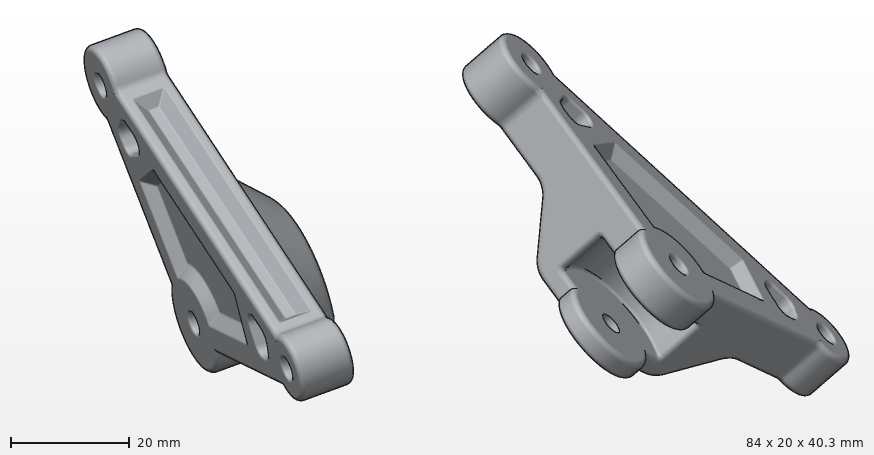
import cadquery as cq
import math

MOUNT_X = 35.5
MOUNT_Z = 24.3
HOLE_DIAMETER = 4.0

LEFT_BOSS_RADIUS = 7.0
RIGHT_BOSS_RADIUS = 6.0
PIVOT_RADIUS = 9.0
BORDER = 4.0
BOSS_BLEND = 2.1

PLATE_DEPTH = 10.0
TOTAL_DEPTH = 20.0
SLOT_FRONT = 7.0
SLOT_BACK = 16.0
SLOT_RADIUS = 12.0

HUB_BACK_RADIUS = 15.0
HUB_BLEND = 5.0

RIM_ROUND = 1.0
SMALL_ROUND = 0.5

RECESS_DEPTH = 2.0
RECESS_TAPER = 45
POCKET_INSET = 1.0
POCKET_TOP_X = 15.45
POCKET_CORNER_X = 20.6
LAND_RADIUS = 8.0
GROOVE_LEFT = -27.2
GROOVE_RIGHT = 29.0
GROOVE_WALL = 2.0

WINDOW_TOP_X = 18.3
WINDOW_BOTTOM_X = 25.1
WINDOW_ROUND = 2.0

SIDE_ANGLE = math.atan2(MOUNT_Z, MOUNT_X)
TOP_Z = MOUNT_Z + BORDER
HOLES = [(0, 0), (-MOUNT_X, MOUNT_Z), (MOUNT_X, MOUNT_Z)]


def side_z(x, inset=0):
    """Height, at x, of a line parallel to a sloping side and inset from the hole centres."""
    return abs(x) * math.tan(SIDE_ANGLE) + inset / math.cos(SIDE_ANGLE)


def prism(points, depth):
    """Polygon in the XZ plane, extruded from the front face towards +Y."""
    return cq.Workplane("XZ").polyline(points).close().extrude(-depth)


def cylinder(x, z, radius, y_start, y_end):
    base = cq.Workplane("XZ", origin=(x, y_start, z))
    return base.circle(radius).extrude(y_start - y_end)


def fillet_where(body, radius, selected):
    """Round the edges for which the given test is true."""
    edges = body.edges().filter(selected)
    return body.newObject(edges.vals()).fillet(radius)


def is_along_y(edge):
    return edge.geomType() == "LINE" and abs(edge.tangentAt(0).y) > 0.99


def web(depth):
    """Triangle with the pivot boss at its lower corner."""
    tip_x = MOUNT_X + BORDER * math.sin(SIDE_ANGLE)
    tip_z = MOUNT_Z - BORDER * math.cos(SIDE_ANGLE)
    triangle = prism(
        [
            (-MOUNT_X, TOP_Z),
            (MOUNT_X, TOP_Z),
            (tip_x, tip_z),
            (0, side_z(0, -BORDER)),
            (-tip_x, tip_z),
        ],
        depth,
    )
    return triangle.union(cylinder(0, 0, PIVOT_RADIUS, 0, depth))


def plate():
    left_boss = cylinder(-MOUNT_X, MOUNT_Z, LEFT_BOSS_RADIUS, 0, PLATE_DEPTH)
    right_boss = cylinder(MOUNT_X, MOUNT_Z, RIGHT_BOSS_RADIUS, 0, PLATE_DEPTH)
    return web(PLATE_DEPTH).union(left_boss).union(right_boss)


def hub():
    """Cone about the pivot axis, rounded at both ends and trimmed to the web outline."""
    half_turn = math.radians(45) / 2
    tangent = HUB_BLEND * math.tan(half_turn)
    diagonal = tangent * math.sin(math.radians(45))
    arc_run = HUB_BLEND * math.sin(half_turn)
    arc_rise = HUB_BLEND * (1 - math.cos(half_turn))
    root_radius = HUB_BACK_RADIUS + TOTAL_DEPTH - PLATE_DEPTH
    foot_radius = root_radius + tangent
    flat_radius = HUB_BACK_RADIUS - tangent
    profile = (
        cq.Workplane("XY")
        .lineTo(foot_radius, 0)
        .lineTo(foot_radius, PLATE_DEPTH)
        .threePointArc(
            (foot_radius - arc_run, PLATE_DEPTH + arc_rise),
            (root_radius - diagonal, PLATE_DEPTH + diagonal),
        )
        .lineTo(HUB_BACK_RADIUS + diagonal, TOTAL_DEPTH - diagonal)
        .threePointArc(
            (flat_radius + arc_run, TOTAL_DEPTH - arc_rise),
            (flat_radius, TOTAL_DEPTH),
        )
        .lineTo(0, TOTAL_DEPTH)
        .close()
    )
    return profile.revolve(360, (0, 0, 0), (0, 1, 0)).intersect(web(TOTAL_DEPTH))


def slot():
    """Round fork slot with softened inner corners."""
    disc = cylinder(0, 0, SLOT_RADIUS, SLOT_FRONT, SLOT_BACK)
    return disc.edges("%CIRCLE").fillet(SMALL_ROUND)


def is_slot_blend(edge):
    """True on the short ends of the slot corner rounding."""
    return edge.Length() < 1.7 and SLOT_FRONT < edge.Center().y < SLOT_BACK


def is_rim(edge):
    """True on the rims of the outline; the hub and slot arcs are wider than the bosses."""
    is_wide_arc = edge.geomType() == "CIRCLE" and edge.radius() > PIVOT_RADIUS + SMALL_ROUND
    return not is_along_y(edge) and not is_wide_arc and not is_slot_blend(edge)


def is_boss_corner(edge):
    """True where a mounting boss meets a straight side of the plate."""
    return is_along_y(edge) and MOUNT_X - LEFT_BOSS_RADIUS < abs(edge.Center().x) < MOUNT_X


def round_mouths(body, face_selector):
    """Round all openings within one flat face."""
    face = body.faces(face_selector).val()
    edges = [edge for wire in face.innerWires() for edge in wire.Edges()]
    return body.newObject(edges).fillet(SMALL_ROUND)


def round_recess(cutter, mouth):
    """Round a recess cutter everywhere except around its mouth."""
    return cutter.edges("not " + mouth).fillet(SMALL_ROUND)


def pocket():
    top_z = MOUNT_Z - POCKET_INSET
    corner_z = side_z(POCKET_CORNER_X, POCKET_INSET)
    outline = cq.Workplane("XZ").polyline(
        [
            (-POCKET_TOP_X, top_z),
            (POCKET_TOP_X, top_z),
            (POCKET_CORNER_X, corner_z),
            (0, side_z(0, POCKET_INSET)),
            (-POCKET_CORNER_X, corner_z),
        ]
    )
    recess = outline.close().extrude(-RECESS_DEPTH, taper=RECESS_TAPER)
    land = cq.Solid.makeCone(
        LAND_RADIUS,
        LAND_RADIUS + RECESS_DEPTH * math.tan(math.radians(RECESS_TAPER)),
        RECESS_DEPTH,
        pnt=cq.Vector(0, 0, 0),
        dir=cq.Vector(0, 1, 0),
    )
    return round_recess(recess.cut(cq.Workplane(land)), "<Y")


def groove():
    middle_x = (GROOVE_LEFT + GROOVE_RIGHT) / 2
    base = cq.Workplane("XY", origin=(middle_x, PLATE_DEPTH / 2, TOP_Z))
    mouth = base.rect(GROOVE_RIGHT - GROOVE_LEFT, PLATE_DEPTH - 2 * GROOVE_WALL)
    return round_recess(mouth.extrude(-RECESS_DEPTH, taper=RECESS_TAPER), ">Z")


def left_window():
    opening = prism(
        [
            (-MOUNT_X, MOUNT_Z),
            (-WINDOW_TOP_X, MOUNT_Z),
            (-WINDOW_BOTTOM_X, side_z(WINDOW_BOTTOM_X)),
        ],
        PLATE_DEPTH,
    )
    opening = opening.cut(cylinder(-MOUNT_X, MOUNT_Z, LAND_RADIUS, 0, PLATE_DEPTH))
    return opening.edges("|Y").fillet(WINDOW_ROUND)


body = plate().union(hub()).cut(slot())
body = fillet_where(body, RIM_ROUND, is_rim)

body = body.cut(pocket()).cut(groove())
body = body.cut(left_window()).cut(left_window().mirror("YZ"))
for x, z in HOLES:
    body = body.cut(cylinder(x, z, HOLE_DIAMETER / 2, 0, TOTAL_DEPTH))

top_face = cq.selectors.NearestToPointSelector((0, PLATE_DEPTH / 2, TOP_Z))
for face_selector in ("<Y", ">Y", top_face):
    body = round_mouths(body, face_selector)

result = fillet_where(body, BOSS_BLEND, is_boss_corner)